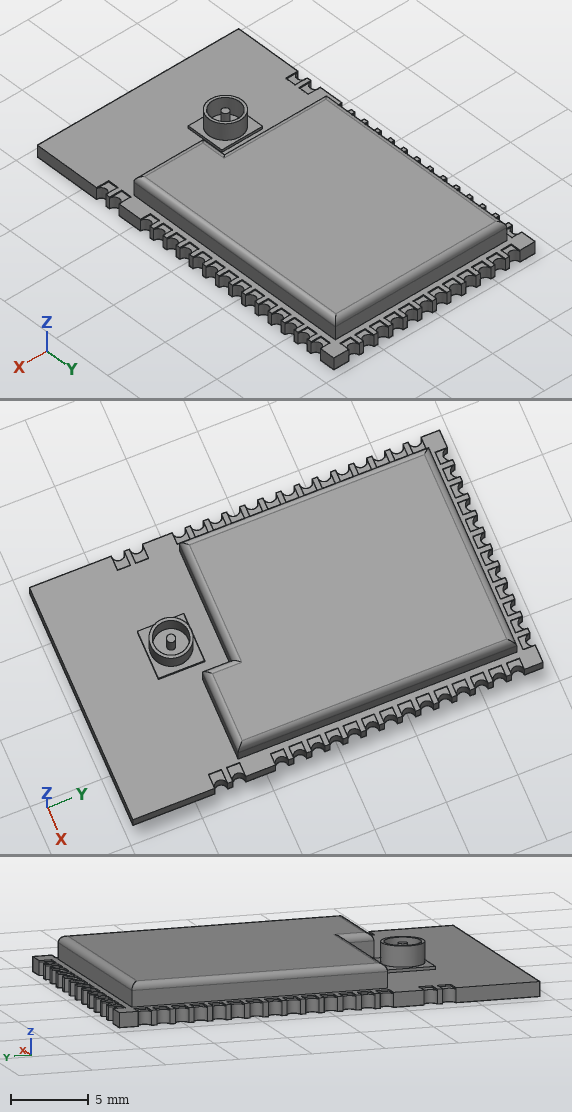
import cadquery as cq

BOARD_WIDTH = 17.5
BOARD_LENGTH = 28.7
BOARD_THICKNESS = 1.0
LEFT = -BOARD_WIDTH / 2
RIGHT = BOARD_WIDTH / 2
BACK = BOARD_LENGTH / 2

PAD_PITCH = 1.27
PAD_WIDTH = 0.9
PAD_LENGTH = 0.85
LONG_PAD_LENGTH = 1.05
PAD_RECESS = 0.1
NOTCH_RADIUS = PAD_WIDTH / 2
BACK_PAD_COUNT = 12
SIDE_PAD_COUNT = 14
FRONT_PAD_COUNT = 2
EDGE_MARGIN = 1.3
FIRST_SIDE_PAD_Y = BACK - EDGE_MARGIN - PAD_WIDTH / 2
FRONT_PAD_SETBACK = 20.8
FIRST_FRONT_PAD_Y = BACK - FRONT_PAD_SETBACK - PAD_WIDTH / 2
FIRST_BACK_PAD_X = -PAD_PITCH * (BACK_PAD_COUNT - 1) / 2

SHIELD_TOP = 2.6
SHIELD_RIM_RADIUS = 0.5
SHIELD_LEFT = LEFT + EDGE_MARGIN
SHIELD_RIGHT = RIGHT - EDGE_MARGIN
SHIELD_BACK = BACK - EDGE_MARGIN
SHIELD_LEFT_LENGTH = 17.45
SHIELD_RIGHT_LENGTH = 19.5
SHIELD_STEP_X = LEFT + 10.15

CONNECTOR_X = LEFT + 7.33
CONNECTOR_Y = BACK - 21.82
PLATE_WIDTH = 3.55
PLATE_LENGTH = 3.25
PLATE_THICKNESS = 0.2
PLATE_TOP = BOARD_THICKNESS + PLATE_THICKNESS
SLEEVE_OUTER_RADIUS = 1.43
SLEEVE_INNER_RADIUS = 1.21
SLEEVE_TOP = SHIELD_TOP
PIN_RADIUS = 0.3
PIN_TOP = 2.5


def pad_cutter(x, y, length, along_x):
    """Recess and notch for one pad centred on a board edge at (x, y)."""
    size_x, size_y = (2 * length, PAD_WIDTH) if along_x else (PAD_WIDTH, 2 * length)
    recess = (
        cq.Workplane("XY", origin=(x, y, BOARD_THICKNESS - PAD_RECESS))
        .rect(size_x, size_y)
        .extrude(PAD_RECESS)
    )
    notch = cq.Workplane("XY", origin=(x, y, 0)).circle(NOTCH_RADIUS).extrude(BOARD_THICKNESS)
    return recess.union(notch)


def cut_side_pads(board, first_y, count, length):
    """Cut matching rows of pads into the left and right board edges."""
    for i in range(count):
        y = first_y - i * PAD_PITCH
        for x in (LEFT, RIGHT):
            board = board.cut(pad_cutter(x, y, length, along_x=True))
    return board


def cut_back_pads(board):
    """Cut the centred row of pads into the back board edge."""
    for i in range(BACK_PAD_COUNT):
        x = FIRST_BACK_PAD_X + i * PAD_PITCH
        board = board.cut(pad_cutter(x, BACK, PAD_LENGTH, along_x=False))
    return board


def make_board():
    board = cq.Workplane("XY").rect(BOARD_WIDTH, BOARD_LENGTH).extrude(BOARD_THICKNESS)
    board = cut_back_pads(board)
    board = cut_side_pads(board, FIRST_SIDE_PAD_Y, SIDE_PAD_COUNT, PAD_LENGTH)
    return cut_side_pads(board, FIRST_FRONT_PAD_Y, FRONT_PAD_COUNT, LONG_PAD_LENGTH)


def make_shield():
    left_front = SHIELD_BACK - SHIELD_LEFT_LENGTH
    right_front = SHIELD_BACK - SHIELD_RIGHT_LENGTH
    outline = [
        (SHIELD_LEFT, SHIELD_BACK),
        (SHIELD_RIGHT, SHIELD_BACK),
        (SHIELD_RIGHT, right_front),
        (SHIELD_STEP_X, right_front),
        (SHIELD_STEP_X, left_front),
        (SHIELD_LEFT, left_front),
    ]
    block = (
        cq.Workplane("XY", origin=(0, 0, BOARD_THICKNESS))
        .polyline(outline)
        .close()
        .extrude(SHIELD_TOP - BOARD_THICKNESS)
    )
    return block.faces(">Z").edges().fillet(SHIELD_RIM_RADIUS)


def make_connector():
    plate = (
        cq.Workplane("XY", origin=(CONNECTOR_X, CONNECTOR_Y, BOARD_THICKNESS))
        .rect(PLATE_WIDTH, PLATE_LENGTH)
        .extrude(PLATE_THICKNESS)
    )
    on_plate = cq.Workplane("XY", origin=(CONNECTOR_X, CONNECTOR_Y, PLATE_TOP))
    sleeve = (
        on_plate.circle(SLEEVE_OUTER_RADIUS)
        .circle(SLEEVE_INNER_RADIUS)
        .extrude(SLEEVE_TOP - PLATE_TOP)
    )
    pin = on_plate.circle(PIN_RADIUS).extrude(PIN_TOP - PLATE_TOP)
    return plate.union(sleeve).union(pin)


result = make_board().union(make_shield()).union(make_connector())